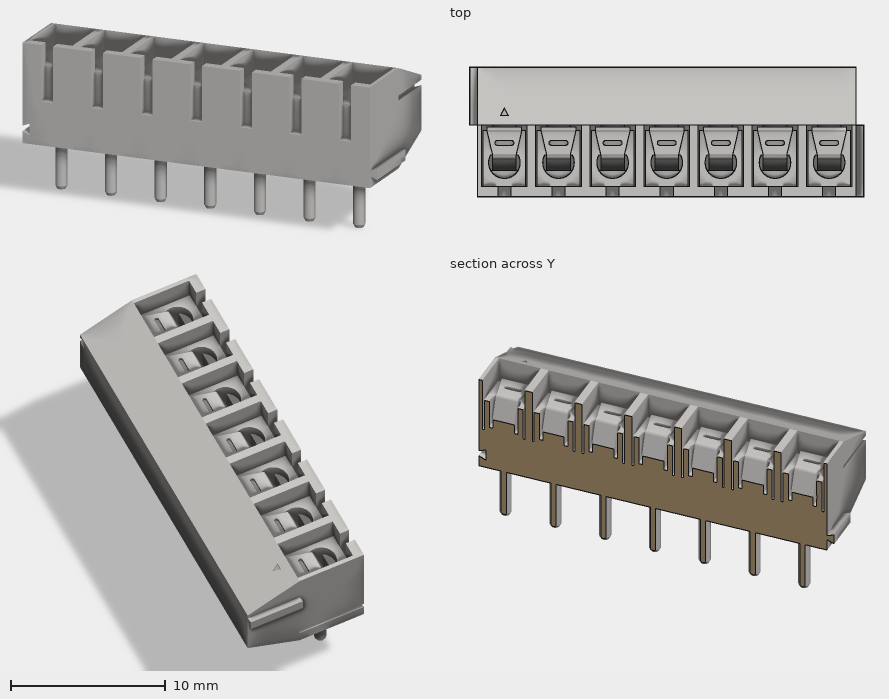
import cadquery as cq
import math


POLES = 7
TOTAL_LENGTH = 25.5
HOUSING_LENGTH = 24.5
PITCH = HOUSING_LENGTH / POLES
POLE_CENTERS = [(i - (POLES - 1) / 2) * PITCH for i in range(POLES)]
DEPTH = 8.4
HEIGHT = 6.8
RIDGE_Y = 4.65
BACK_DROP = 1.53

PIN_LENGTH = 3.5
PIN_DIAMETER = 0.8
PIN_Y = 2.3
PIN_CHAMFER_LENGTH = 0.23
PIN_CHAMFER_WIDTH = 0.13

RAIL_REACH = (TOTAL_LENGTH - HOUSING_LENGTH) / 2
RAIL_ROOT = 0.35
RAIL_TIP = 0.76
UPPER_RAIL_Z = 4.77
LOWER_RAIL_Z = 1.0

FRONT_WALL = 0.66
POCKET_WIDTH = 2.95
POCKET_FLOOR_Z = 2.98
SLOT_WIDTH = 0.85
BOSS_DIAMETER = 1.53
BOSS_Z = HEIGHT / 2

BLOCK_SIDE_GAP = 0.1
BLOCK_WIDTH = POCKET_WIDTH - 2 * BLOCK_SIDE_GAP
BLOCK_TOP_Z = HEIGHT - 1.53
WELL_RADIUS = 1.02
WELL_Y = RIDGE_Y - 2.42
WELL_LENGTH = 1.02
WELL_STEP_DEPTH = 0.76

LEVER_THICKNESS = 0.23
LEVER_BACK_GAP = 0.1
LEVER_BACK_WIDTH = 2.25
LEVER_TIP_WIDTH = 1.53
LEVER_BEND_RADIUS = 0.28
LEVER_TIP_ANGLE = math.radians(70)
LEVER_SLOT_LENGTH = 1.22
LEVER_SLOT_WIDTH = 0.3
LEVER_SLOT_Y = RIDGE_Y - 1.15
LEVER_BACK_Y = RIDGE_Y - LEVER_BACK_GAP
LEVER_TOP_Z = BLOCK_TOP_Z + LEVER_THICKNESS
BLOCK_BACK_Y = LEVER_BACK_Y - LEVER_THICKNESS
WELL_BACK_Y = WELL_Y + WELL_LENGTH / 2
WELL_FRONT_Y = WELL_Y - WELL_LENGTH / 2


def on_tip_bend(turn):
    """Point (Y, Z) on the lever's front bend after turning down by an angle."""
    return (
        WELL_BACK_Y - LEVER_BEND_RADIUS * math.sin(turn),
        LEVER_TOP_Z - LEVER_BEND_RADIUS * (1 - math.cos(turn)),
    )


TIP_BEND_END = on_tip_bend(LEVER_TIP_ANGLE)
TIP_DROP = (TIP_BEND_END[0] - WELL_FRONT_Y) * math.tan(LEVER_TIP_ANGLE)
WELL_FLOOR_Z = TIP_BEND_END[1] - TIP_DROP

MARK_WIDTH = 0.5
MARK_LENGTH = 0.48
MARK_OFFSET = 0.6
MARK_DEPTH = 0.1


def box(x_center, x_size, y_range, z_range):
    """Box centred on x_center between two Y and two Z planes."""
    size = (x_size, y_range[1] - y_range[0], z_range[1] - z_range[0])
    corner = (x_center - x_size / 2, y_range[0], z_range[0])
    return cq.Workplane("XY").box(*size, centered=False).translate(corner)


def housing():
    """Block along X with its upper and lower back edges sloped off."""
    outline = [
        (0, 0),
        (RIDGE_Y, 0),
        (DEPTH, BACK_DROP),
        (DEPTH, HEIGHT - BACK_DROP),
        (RIDGE_Y, HEIGHT),
        (0, HEIGHT),
    ]
    profile = cq.Workplane("YZ").polyline(outline).close()
    return profile.extrude(HOUSING_LENGTH / 2, both=True)


def dovetail(x_root, z_center, y_range):
    """Bar along Y that widens from x_root towards +X."""
    outline = [
        (x_root, z_center - RAIL_ROOT / 2),
        (x_root + RAIL_REACH, z_center - RAIL_TIP / 2),
        (x_root + RAIL_REACH, z_center + RAIL_TIP / 2),
        (x_root, z_center + RAIL_ROOT / 2),
    ]
    bar = cq.Workplane("XZ").polyline(outline).close().extrude(y_range[0] - y_range[1])
    return bar.translate((0, y_range[0], 0))


def with_rails(body):
    """Rail above and groove below on the left end, their mates on the right end."""
    half = HOUSING_LENGTH / 2
    upper_span = (RIDGE_Y, DEPTH)
    lower_span = (0, RIDGE_Y)
    right_groove = dovetail(half, UPPER_RAIL_Z, upper_span).mirror("YZ", (half, 0, 0))
    left_rail = right_groove.translate((-HOUSING_LENGTH, 0, 0))
    left_groove = dovetail(-half, LOWER_RAIL_Z, lower_span)
    right_rail = left_groove.translate((HOUSING_LENGTH, 0, 0))
    return body.cut(left_groove).cut(right_groove).union(left_rail).union(right_rail)


def pole_opening(x):
    """Pocket open at the top, with a slot through the front wall."""
    heights = (POCKET_FLOOR_Z, HEIGHT)
    pocket = box(x, POCKET_WIDTH, (FRONT_WALL, RIDGE_Y), heights)
    slot = box(x, SLOT_WIDTH, (0, FRONT_WALL), heights)
    return pocket.union(slot)


def back_boss(x):
    """Round boss on the back wall of the pocket that reaches the lever."""
    boss = cq.Workplane("XZ", origin=(x, RIDGE_Y, BOSS_Z)).circle(BOSS_DIAMETER / 2)
    return boss.extrude(LEVER_BACK_GAP)


def contact_block(x):
    """Block with a round well: a deep middle band and a shallower step in front."""
    block = box(x, BLOCK_WIDTH, (FRONT_WALL, BLOCK_BACK_Y), (POCKET_FLOOR_Z, BLOCK_TOP_Z))
    well = (
        cq.Workplane("XY", origin=(x, WELL_Y, WELL_FLOOR_Z))
        .circle(WELL_RADIUS)
        .extrude(BLOCK_TOP_Z - WELL_FLOOR_Z)
    )
    band_limits = box(x, 2 * WELL_RADIUS, (WELL_FRONT_Y, WELL_BACK_Y), (WELL_FLOOR_Z, BLOCK_TOP_Z))
    step_limits = box(
        x,
        2 * WELL_RADIUS,
        (WELL_Y - WELL_RADIUS, WELL_FRONT_Y),
        (BLOCK_TOP_Z - WELL_STEP_DEPTH, BLOCK_TOP_Z),
    )
    return block.cut(well.intersect(band_limits)).cut(well.intersect(step_limits))


def spring_lever(x):
    """Tapered lever, bent down behind the block and sloping into the well in front."""
    radius = LEVER_BEND_RADIUS
    back_bend_middle = (
        LEVER_BACK_Y - radius * (1 - math.sin(math.pi / 4)),
        LEVER_TOP_Z - radius * (1 - math.cos(math.pi / 4)),
    )
    sheet = (
        cq.Workplane("YZ", origin=(x, 0, 0))
        .moveTo(LEVER_BACK_Y, POCKET_FLOOR_Z)
        .lineTo(LEVER_BACK_Y, LEVER_TOP_Z - radius)
        .threePointArc(back_bend_middle, (LEVER_BACK_Y - radius, LEVER_TOP_Z))
        .lineTo(WELL_BACK_Y, LEVER_TOP_Z)
        .threePointArc(on_tip_bend(LEVER_TIP_ANGLE / 2), TIP_BEND_END)
        .lineTo(WELL_FRONT_Y, WELL_FLOOR_Z)
        .lineTo(WELL_BACK_Y, WELL_FLOOR_Z)
        .lineTo(WELL_BACK_Y, BLOCK_TOP_Z)
        .lineTo(BLOCK_BACK_Y, BLOCK_TOP_Z)
        .lineTo(BLOCK_BACK_Y, POCKET_FLOOR_Z)
        .close()
        .extrude(LEVER_BACK_WIDTH / 2, both=True)
    )
    plan = [
        (LEVER_BACK_WIDTH / 2, LEVER_BACK_Y),
        (LEVER_BACK_WIDTH / 2, LEVER_BACK_Y - radius),
        (LEVER_TIP_WIDTH / 2, WELL_BACK_Y),
        (LEVER_TIP_WIDTH / 2, WELL_FRONT_Y),
    ]
    plan += [(-half_width, y) for half_width, y in reversed(plan)]
    plan_prism = cq.Workplane("XY", origin=(x, 0, 0)).polyline(plan).close().extrude(HEIGHT)
    slot = (
        cq.Workplane("XY", origin=(x, LEVER_SLOT_Y, BLOCK_TOP_Z))
        .slot2D(LEVER_SLOT_LENGTH, LEVER_SLOT_WIDTH)
        .extrude(LEVER_THICKNESS)
    )
    return sheet.intersect(plan_prism).cut(slot)


def pin(x):
    """Round solder pin with a tapered end, reaching down from the underside."""
    radius = PIN_DIAMETER / 2
    outline = [
        (0, 0),
        (radius, 0),
        (radius, PIN_CHAMFER_LENGTH - PIN_LENGTH),
        (radius - PIN_CHAMFER_WIDTH, -PIN_LENGTH),
        (0, -PIN_LENGTH),
    ]
    turned = cq.Workplane("XZ").polyline(outline).close().revolve(360, (0, 0), (0, 1))
    return turned.translate((x, PIN_Y, 0))


def pole_mark():
    """Triangle sunk into the upper slope, pointing to the back at the first pole."""
    base_y = RIDGE_Y + MARK_OFFSET
    slope = BACK_DROP / (DEPTH - RIDGE_Y)
    floor_start_z = HEIGHT - MARK_OFFSET * slope - MARK_DEPTH
    outline = [
        (-MARK_WIDTH / 2, base_y),
        (MARK_WIDTH / 2, base_y),
        (0, base_y + MARK_LENGTH),
    ]
    prism = cq.Workplane("XY").polyline(outline).close().extrude(HEIGHT)
    above_floor = (
        cq.Workplane("YZ")
        .moveTo(base_y, floor_start_z)
        .lineTo(base_y + MARK_LENGTH, floor_start_z - MARK_LENGTH * slope)
        .lineTo(base_y + MARK_LENGTH, HEIGHT)
        .lineTo(base_y, HEIGHT)
        .close()
        .extrude(MARK_WIDTH / 2, both=True)
    )
    return prism.intersect(above_floor).translate((POLE_CENTERS[0], 0, 0))


result = with_rails(housing()).cut(pole_mark())
for center in POLE_CENTERS:
    result = result.cut(pole_opening(center))
    for add_part in (contact_block, spring_lever, back_boss, pin):
        result = result.union(add_part(center))